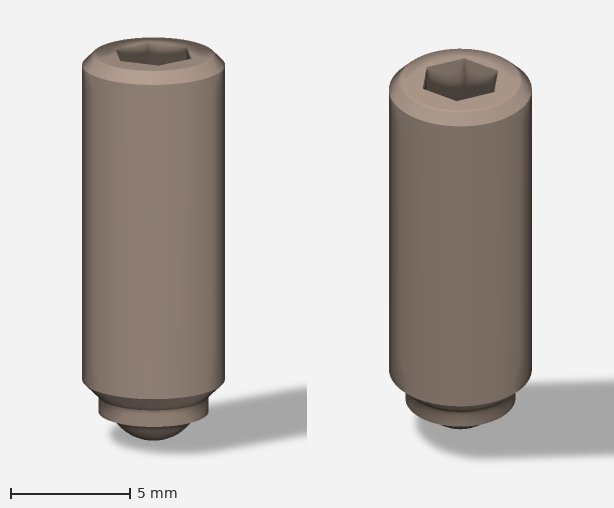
import cadquery as cq
import math

total_length = 16.8
body_diameter = 6.0
body_radius = body_diameter / 2

top_chamfer = 0.47
top_edge_radius = 0.17

nose_diameter = 4.62
nose_radius = nose_diameter / 2
nose_length = 0.72
ball_protrusion = 1.2
ball_diameter = 4.0
ball_radius = ball_diameter / 2

socket_across_flats = 3.0
socket_depth = 3.02
socket_point_angle = 120.0

nose_face_z = ball_protrusion
nose_top_z = nose_face_z + nose_length
nose_chamfer = body_radius - nose_radius
shoulder_z = nose_top_z + nose_chamfer
socket_corner_radius = socket_across_flats / math.sqrt(3)
socket_point_depth = socket_corner_radius / math.tan(math.radians(socket_point_angle / 2))
socket_corner_z = total_length - socket_depth
socket_point_z = socket_corner_z - socket_point_depth


def make_ball():
    """Ball whose lowest point lies on the plane z = 0."""
    return cq.Workplane("XY").sphere(ball_radius).translate((0, 0, ball_radius))


def make_socket():
    """Hexagonal socket whose floor is a cone reaching the hexagon corners."""
    hexagon = (
        cq.Workplane("XY")
        .workplane(offset=socket_point_z)
        .polygon(6, 2 * socket_corner_radius)
        .extrude(total_length - socket_point_z)
    )
    drill = (
        cq.Workplane("XZ")
        .moveTo(0, socket_point_z)
        .lineTo(socket_corner_radius, socket_corner_z)
        .lineTo(socket_corner_radius, total_length)
        .lineTo(0, total_length)
        .close()
        .revolve(360, (0, 0, 0), (0, 1, 0))
    )
    return hexagon.intersect(drill)


def make_screw_body():
    """Turned body with a hexagonal socket on top and a ball seat in the nose."""
    blank = (
        cq.Workplane("XZ")
        .moveTo(0, nose_face_z)
        .lineTo(nose_radius, nose_face_z)
        .lineTo(nose_radius, nose_top_z)
        .lineTo(body_radius, shoulder_z)
        .lineTo(body_radius, total_length - top_chamfer)
        .lineTo(body_radius - top_chamfer, total_length)
        .lineTo(0, total_length)
        .close()
        .revolve(360, (0, 0, 0), (0, 1, 0))
    )
    rounded = blank.faces(">Z").edges().fillet(top_edge_radius)
    return rounded.cut(make_socket()).cut(make_ball())


screw_body = make_screw_body()
ball = make_ball()

result = cq.Compound.makeCompound([screw_body.val(), ball.val()])